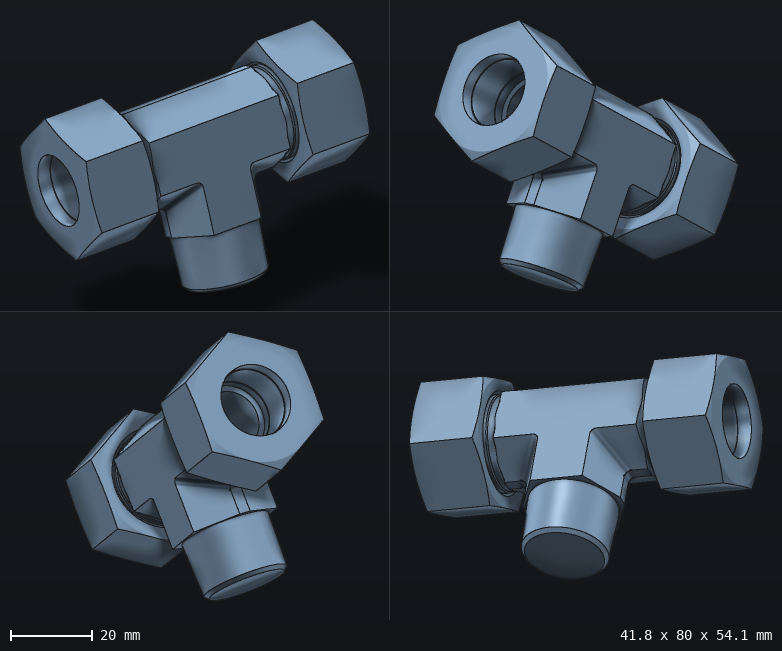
import cadquery as cq
import math

TILT = -22.5
HALF_SECTOR = 30

BAR_ACROSS_FLATS = 24
BAR_CLIP_WIDTH = 26
RUN_HALF_LENGTH = 19
BRANCH_BAR_LENGTH = 21
JUNCTION_FILLET = 2

NECK_DIA = 23.7
NECK_FILLET = 1
NECK_END = 21.25
THREAD_DIA = 24.38
RUN_END = 31
RUN_BORE_DIA = 15
TUBE_DIA = 18
TUBE_STOP = 23.5
CONE_MOUTH_DIA = 20.3
CONE_HALF_ANGLE = math.radians(12)

STUD_COLLAR_DIA = 22.66
STUD_COLLAR_LENGTH = 1
STUD_END = 36
STUD_CHAMFER = 1
STUD_TAPER = 1 / 16

NUT_ACROSS_FLATS = 32
NUT_OUTER_END = 40
NUT_INNER_END = 22
NUT_CHAMFER_ANGLE = math.radians(15)
NUT_HOLE_DIA = 18.4
NUT_HOLE_DEPTH = 3.6
NUT_MOUTH_DIA = 26

RING_COLLAR_DIA = 23
RING_LENGTH = 10


def revolve_about_run(points):
    """Turn a closed outline of (radius, distance along +Y) about the run axis."""
    return cq.Workplane("XY").polyline(points).close().revolve(360, (0, 0, 0), (0, 1, 0))


def both_ends(shape):
    """The shape at the +Y end and its mirror image at the -Y end."""
    return [shape, shape.mirror("XZ")]


def tilt(shape):
    return shape.rotate((0, 0, 0), (0, 1, 0), TILT)


def hexagon_bar(plane, across_flats, length):
    """Hexagonal bar with two flats facing +X and -X."""
    across_corners = across_flats / math.cos(math.radians(HALF_SECTOR))
    bar = cq.Workplane(plane).polygon(6, across_corners).extrude(length)
    return bar.rotate((0, 0, 0), bar.plane.zDir.toTuple(), HALF_SECTOR)


def run_bar():
    """Bar along Y whose ends sweep down to the neck in a round flare."""
    half_length = RUN_HALF_LENGTH + NECK_FILLET
    neck = NECK_DIA / 2
    bar = hexagon_bar("XZ", BAR_ACROSS_FLATS, 2 * half_length).translate((0, half_length, 0))
    clip = cq.Workplane("XY").box(2 * BAR_ACROSS_FLATS, 2 * half_length, BAR_CLIP_WIDTH)
    relief = (
        cq.Workplane("XY")
        .moveTo(neck, half_length)
        .radiusArc((neck + NECK_FILLET, RUN_HALF_LENGTH), -NECK_FILLET)
        .lineTo(BAR_ACROSS_FLATS, RUN_HALF_LENGTH)
        .lineTo(BAR_ACROSS_FLATS, half_length)
        .close()
        .revolve(360, (0, 0, 0), (0, 1, 0))
    )
    bar = bar.intersect(clip)
    for cutter in both_ends(relief):
        bar = bar.cut(cutter)
    return bar


def branch_bar():
    bar = hexagon_bar("XY", BAR_ACROSS_FLATS, -BRANCH_BAR_LENGTH)
    clip = cq.Workplane("XY").box(2 * BAR_ACROSS_FLATS, BAR_CLIP_WIDTH, 2 * BRANCH_BAR_LENGTH)
    return bar.intersect(clip)


def junction_bars():
    """Run and branch bars joined, with the inside corners rounded."""
    half_clip = BAR_CLIP_WIDTH / 2
    corner = BAR_ACROSS_FLATS / 2 * math.tan(math.radians(HALF_SECTOR))
    margin = 0.1
    bars = run_bar().union(branch_bar())
    for side in (-1, 1):
        near, far = sorted((side * (corner - margin), side * (half_clip + margin)))
        selector = cq.selectors.BoxSelector(
            (-BAR_ACROSS_FLATS, near, -half_clip - margin),
            (BAR_ACROSS_FLATS, far, -corner + margin),
            boundingbox=True,
        )
        bars = bars.edges(selector).fillet(JUNCTION_FILLET)
    return bars


def run_end():
    """Neck and thread of one run end."""
    neck = NECK_DIA / 2
    thread = THREAD_DIA / 2
    return revolve_about_run([
        (0, 0),
        (neck, 0),
        (neck, NECK_END),
        (thread, NECK_END + thread - neck),
        (thread, RUN_END),
        (0, RUN_END),
    ])


def stud():
    collar = STUD_COLLAR_DIA / 2
    collar_end = BRANCH_BAR_LENGTH + STUD_COLLAR_LENGTH
    taper_end = STUD_END - STUD_CHAMFER
    tip = collar - (taper_end - collar_end) * STUD_TAPER / 2
    outline = [
        (0, 0),
        (collar, 0),
        (collar, -collar_end),
        (tip, -taper_end),
        (tip - STUD_CHAMFER, -STUD_END),
        (0, -STUD_END),
    ]
    return cq.Workplane("XZ").polyline(outline).close().revolve(360, (0, 0, 0), (0, 1, 0))


def tube_socket():
    """Bore, tube socket and 24 degree mouth, from the middle to one run end."""
    tube = TUBE_DIA / 2
    mouth = CONE_MOUTH_DIA / 2
    cone_depth = (mouth - tube) / math.tan(CONE_HALF_ANGLE)
    return revolve_about_run([
        (0, 0),
        (RUN_BORE_DIA / 2, 0),
        (RUN_BORE_DIA / 2, TUBE_STOP),
        (tube, TUBE_STOP),
        (tube, RUN_END - cone_depth),
        (mouth, RUN_END),
        (0, RUN_END),
    ])


def make_body():
    body = junction_bars().union(stud())
    for end in both_ends(run_end()):
        body = body.union(end)
    for socket in both_ends(tube_socket()):
        body = body.cut(socket)
    return body


def nut_blank():
    """Hexagon with its corners coned off at both ends."""
    flat = NUT_ACROSS_FLATS / 2
    corner = flat / math.cos(math.radians(HALF_SECTOR))
    chamfer = (corner - flat) * math.tan(NUT_CHAMFER_ANGLE)
    hexagon = hexagon_bar("XZ", NUT_ACROSS_FLATS, NUT_INNER_END - NUT_OUTER_END)
    envelope = revolve_about_run([
        (0, NUT_INNER_END),
        (flat, NUT_INNER_END),
        (corner, NUT_INNER_END + chamfer),
        (corner, NUT_OUTER_END - chamfer),
        (flat, NUT_OUTER_END),
        (0, NUT_OUTER_END),
    ])
    return hexagon.translate((0, NUT_INNER_END, 0)).intersect(envelope)


def make_nut():
    thread = THREAD_DIA / 2
    hole = NUT_HOLE_DIA / 2
    mouth = NUT_MOUTH_DIA / 2
    hole_start = NUT_OUTER_END - NUT_HOLE_DEPTH
    bore = revolve_about_run([
        (0, NUT_INNER_END),
        (mouth, NUT_INNER_END),
        (thread, NUT_INNER_END + mouth - thread),
        (thread, hole_start - (thread - hole)),
        (hole, hole_start),
        (hole, NUT_OUTER_END),
        (0, NUT_OUTER_END),
    ])
    return nut_blank().cut(bore)


def make_ring():
    """Cutting ring: nose in the body mouth, 45 degree shoulder against the nut seat."""
    tube = TUBE_DIA / 2
    mouth = CONE_MOUTH_DIA / 2
    collar = RING_COLLAR_DIA / 2
    face = NUT_HOLE_DIA / 2
    outer_end = NUT_OUTER_END - NUT_HOLE_DEPTH
    nose_end = outer_end - RING_LENGTH
    nose = mouth - (RUN_END - nose_end) * math.tan(CONE_HALF_ANGLE)
    return revolve_about_run([
        (tube, nose_end),
        (nose, nose_end),
        (mouth, RUN_END),
        (collar, RUN_END),
        (collar, outer_end - (collar - face)),
        (face, outer_end),
        (tube, outer_end),
    ])


body = make_body()
nuts = both_ends(make_nut())
rings = both_ends(make_ring())

result = cq.Compound.makeCompound([tilt(part).val() for part in [body, *nuts, *rings]])